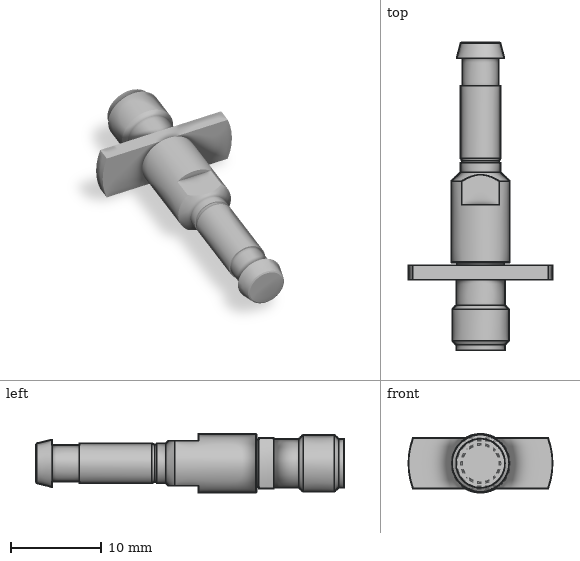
import cadquery as cq


length = 34.1
nose_end = 0.6
collar_start = 1.1
collar_end = 4.55
front_neck_start = 5.0
flange_front = 7.8
flange_thickness = 1.65
flange_back = flange_front + flange_thickness
gap_length = 0.25
body_start = flange_back + gap_length
flats_start = 16.13
body_end = 18.72
shank_start = 19.7
groove_start = 20.73
groove_floor_end = 20.97
groove_end = 21.28
shank_end = 29.3
barb_start = 32.3

nose_diameter = 5.42
collar_diameter = 6.3
gap_diameter = 5.3
body_diameter = 6.5
shank_diameter = 4.45
groove_diameter = 4.15
barb_neck_diameter = 4.05
barb_diameter = 5.25
barb_tip_diameter = 4.45

body_chamfer = 0.1
barb_land = 0.1
tip_chamfer = 0.17
tip_chamfer_length = 0.1

flange_diameter = 15.95
flange_height = 5.63
across_flats = 5.0


def turned_body():
    """Revolve the stepped half profile, given as (radius, y), about Y."""
    nose_r = nose_diameter / 2
    collar_r = collar_diameter / 2
    gap_r = gap_diameter / 2
    body_r = body_diameter / 2
    shank_r = shank_diameter / 2
    groove_r = groove_diameter / 2
    barb_neck_r = barb_neck_diameter / 2
    barb_r = barb_diameter / 2
    tip_r = barb_tip_diameter / 2
    profile = [
        (0, 0),
        (nose_r, 0),
        (nose_r, nose_end),
        (collar_r, collar_start),
        (collar_r, collar_end),
        (nose_r, front_neck_start),
        (nose_r, flange_back),
        (gap_r, flange_back),
        (gap_r, body_start),
        (body_r - body_chamfer, body_start),
        (body_r, body_start + body_chamfer),
        (body_r, body_end),
        (shank_r, shank_start),
        (shank_r, groove_start),
        (groove_r, groove_start),
        (groove_r, groove_floor_end),
        (shank_r, groove_end),
        (shank_r, shank_end),
        (barb_neck_r, shank_end),
        (barb_neck_r, barb_start),
        (barb_r, barb_start),
        (barb_r, barb_start + barb_land),
        (tip_r, length - tip_chamfer_length),
        (tip_r - tip_chamfer, length),
        (0, length),
    ]
    return cq.Workplane("XY").polyline(profile).close().revolve(360, (0, 0), (0, 1))


def flange():
    """Disc trimmed to a bar, so that both ends are arcs about the axis."""
    disc = (
        cq.Workplane("XZ", origin=(0, flange_front, 0))
        .circle(flange_diameter / 2)
        .extrude(-flange_thickness)
    )
    bar = cq.Workplane("XY").box(flange_diameter, flange_thickness, flange_height)
    return disc.intersect(bar.translate((0, flange_front + flange_thickness / 2, 0)))


def flat_cutter(side):
    """Block that removes the body above (side = 1) or below (side = -1) a flat."""
    cut_length = shank_start - flats_start
    cut_height = body_diameter - across_flats
    block = cq.Workplane("XY").box(body_diameter, cut_length, cut_height)
    center_y = flats_start + cut_length / 2
    center_z = side * (across_flats + cut_height) / 2
    return block.translate((0, center_y, center_z))


result = turned_body().union(flange())
for side in (1, -1):
    result = result.cut(flat_cutter(side))